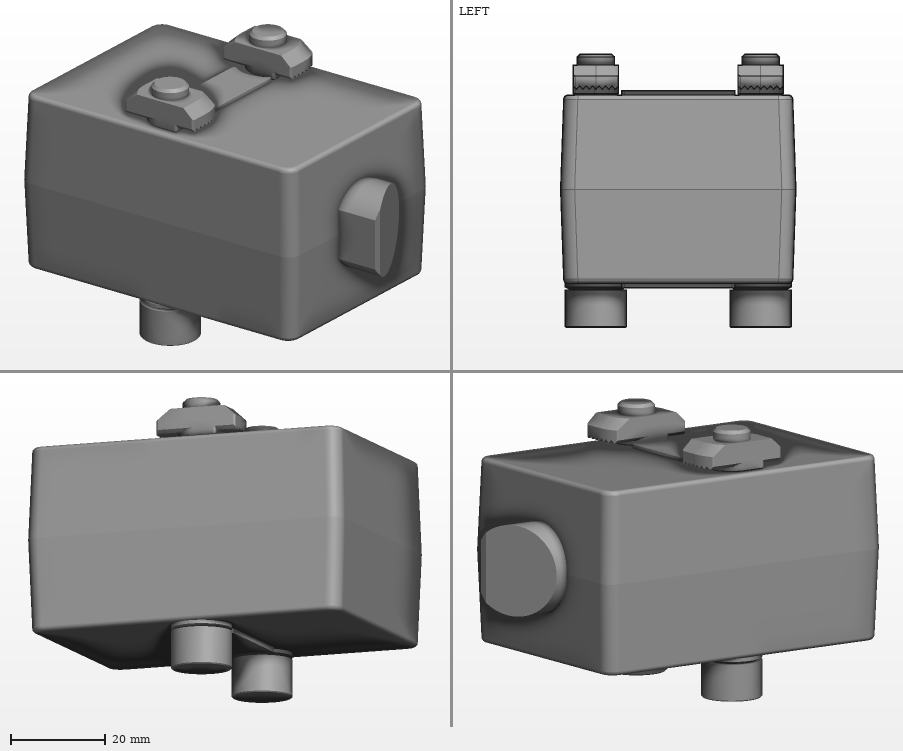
import cadquery as cq
import math

TOTAL_LENGTH = 81.5
HOUSING_LENGTH = 72.0
HOUSING_WIDTH = 50.0
HALF_HEIGHT = 20.0
DRAFT_ANGLE = 2.0
CORNER_RADIUS = 3.0
RIM_RADIUS = 1.0

BOLT_X = -1.55
BOLT_SPACING = 35.0
BOLT_Y = BOLT_SPACING / 2
BOLT_POSITIONS = [(BOLT_X, -BOLT_Y), (BOLT_X, BOLT_Y)]

SHANK_RADIUS = 4.0
SHANK_TOP = 28.7
SHANK_CHAMFER = 0.65
HEAD_RADIUS = 6.5
HEAD_HEIGHT = 8.0
HEAD_CHAMFER = 0.25

WASHER_HEIGHT = 1.4
WASHER_RIM_HEIGHT = 0.7
WASHER_FOOT_RADIUS = 5.3

NUT_WIDTH = 9.6
NUT_HALF_LENGTH = 9.5
NUT_TOP = 26.3
NUT_CHAMFER_RUN = 2.5
NUT_CHAMFER_RISE = 2.3
NUT_EDGE_RADIUS = 0.5
NECK_HALF_LENGTH = 5.05
NECK_CHAMFER = 0.3
TOOTH_COUNT = 7
TOOTH_HEIGHT = 0.7
TOOTH_TIP_Z = 21.2
TOOTH_ROOT_Z = TOOTH_TIP_Z + TOOTH_HEIGHT

KEY_WIDTH = 10.1
KEY_LENGTH = 24.05
KEY_HEIGHT = 1.0
KEY_END_RADIUS = 7.0
KEY_EDGE_RADIUS = 0.6

SPOUT_RADIUS = 9.9
SPOUT_FLAT_Y = -8.1
SPOUT_TIP_X = TOTAL_LENGTH - HOUSING_LENGTH / 2
SPOUT_TIP_EDGE_Y = -6.3
SPOUT_SLANT_ANGLE = 23.2
SPOUT_ROOT_X = HOUSING_LENGTH / 2 - 2 * HALF_HEIGHT * math.tan(math.radians(DRAFT_ANGLE))


def make_housing_blank():
    """Outer shape of the housing, without the bolt holes."""
    upper = (
        cq.Workplane("XY")
        .rect(HOUSING_LENGTH, HOUSING_WIDTH)
        .extrude(HALF_HEIGHT, taper=DRAFT_ANGLE)
        .edges("not(#Z)")
        .fillet(CORNER_RADIUS)
        .faces(">Z")
        .edges()
        .fillet(RIM_RADIUS)
    )
    return upper.union(upper.mirror("XY"))


def make_housing():
    """Housing with a through hole for each bolt."""
    holes = (
        cq.Workplane("XY", origin=(0, 0, -HALF_HEIGHT))
        .pushPoints(BOLT_POSITIONS)
        .circle(SHANK_RADIUS)
        .extrude(2 * HALF_HEIGHT)
    )
    return make_housing_blank().cut(holes)


def make_spout():
    """Round spout with a flat front, a slanted end and a root that follows the drafted housing wall."""
    top_x = SPOUT_TIP_X - (SPOUT_RADIUS - SPOUT_TIP_EDGE_Y) * math.tan(math.radians(SPOUT_SLANT_ANGLE))
    side_outline = (
        cq.Workplane("XY")
        .moveTo(SPOUT_ROOT_X, SPOUT_FLAT_Y)
        .lineTo(SPOUT_TIP_X, SPOUT_FLAT_Y)
        .lineTo(SPOUT_TIP_X, SPOUT_TIP_EDGE_Y)
        .lineTo(top_x, SPOUT_RADIUS)
        .lineTo(SPOUT_ROOT_X, SPOUT_RADIUS)
        .close()
        .extrude(SPOUT_RADIUS, both=True)
    )
    cylinder = (
        cq.Workplane("YZ", origin=(SPOUT_ROOT_X, 0, 0))
        .circle(SPOUT_RADIUS)
        .extrude(SPOUT_TIP_X - SPOUT_ROOT_X)
    )
    return cylinder.intersect(side_outline).cut(make_housing_blank())


def make_bolt(x, y):
    """Cylinder-head bolt, standing head down."""
    head_top = -HALF_HEIGHT - WASHER_HEIGHT
    head = (
        cq.Workplane("XY", origin=(x, y, head_top))
        .circle(HEAD_RADIUS)
        .extrude(-HEAD_HEIGHT)
        .faces("<Z")
        .chamfer(HEAD_CHAMFER)
    )
    shank = (
        cq.Workplane("XY", origin=(x, y, head_top))
        .circle(SHANK_RADIUS)
        .extrude(SHANK_TOP - head_top)
        .faces(">Z")
        .chamfer(SHANK_CHAMFER)
    )
    return head.union(shank)


def make_washer(x, y):
    """Washer with a straight rim against the housing and a conical foot on the bolt head."""
    profile = [
        (SHANK_RADIUS, 0),
        (HEAD_RADIUS, 0),
        (HEAD_RADIUS, -WASHER_RIM_HEIGHT),
        (WASHER_FOOT_RADIUS, -WASHER_HEIGHT),
        (SHANK_RADIUS, -WASHER_HEIGHT),
    ]
    washer = cq.Workplane("XZ").polyline(profile).close().revolve(360, (0, 0, 0), (0, 1, 0))
    return washer.translate((x, y, -HALF_HEIGHT))


def turning_outline(z, half_length, half_width):
    """Rectangle whose -X-Y and +X+Y corners are rounded so that the nut can turn in its slot."""
    radius = half_length
    reach = half_width - radius
    bulge = radius * math.sqrt(0.5)
    return (
        cq.Workplane("XY", origin=(0, 0, z))
        .moveTo(-half_length, half_width)
        .lineTo(-half_length, -reach)
        .threePointArc((-bulge, -reach - bulge), (0, -half_width))
        .lineTo(half_length, -half_width)
        .lineTo(half_length, reach)
        .threePointArc((bulge, reach + bulge), (0, half_width))
        .close()
    )


def make_nut_wings():
    """Upper part of the nut: chamfered ends, with teeth along X on the underside."""
    chamfer_base = NUT_TOP - NUT_CHAMFER_RISE
    taper = math.degrees(math.atan2(NUT_CHAMFER_RUN, NUT_CHAMFER_RISE))
    straight = turning_outline(TOOTH_TIP_Z, NUT_HALF_LENGTH, NUT_HALF_LENGTH).extrude(chamfer_base - TOOTH_TIP_Z)
    tapered = turning_outline(chamfer_base, NUT_HALF_LENGTH, NUT_HALF_LENGTH).extrude(NUT_CHAMFER_RISE, taper=taper)
    bar = (
        cq.Workplane("XY", origin=(0, 0, TOOTH_TIP_Z))
        .rect(2 * NUT_HALF_LENGTH, NUT_WIDTH)
        .extrude(NUT_TOP - TOOTH_TIP_Z)
    )
    prism = turning_outline(TOOTH_TIP_Z, NUT_HALF_LENGTH, NUT_HALF_LENGTH).extrude(NUT_TOP - TOOTH_TIP_Z)
    rounded_bar = bar.intersect(prism).edges("|Z and (<Y or >Y)").fillet(NUT_EDGE_RADIUS)
    return rounded_bar.intersect(straight.union(tapered)).cut(make_tooth_gaps())


def make_tooth_gaps():
    """V grooves between the teeth; the outermost ones leave the side faces at root height."""
    pitch = NUT_WIDTH / TOOTH_COUNT
    gaps = cq.Workplane("YZ", origin=(-NUT_HALF_LENGTH, 0, 0))
    for i in range(TOOTH_COUNT + 1):
        root_y = -NUT_WIDTH / 2 + i * pitch
        gaps = gaps.polyline(
            [
                (root_y - pitch / 2, TOOTH_TIP_Z),
                (root_y, TOOTH_ROOT_Z),
                (root_y + pitch / 2, TOOTH_TIP_Z),
            ]
        ).close()
    return gaps.extrude(2 * NUT_HALF_LENGTH)


def make_nut(x, y):
    """T-nut: wings on a narrow neck that stands on the housing, bored for the bolt shank."""
    neck = (
        turning_outline(HALF_HEIGHT, NECK_HALF_LENGTH, NUT_WIDTH / 2)
        .extrude(NUT_TOP - NUT_CHAMFER_RISE - HALF_HEIGHT)
    )
    neck = neck.edges("|Z and (>(1, -1, 0) or <(1, -1, 0))").fillet(NUT_EDGE_RADIUS)
    neck = neck.faces("<Z").chamfer(NECK_CHAMFER)
    bore = (
        cq.Workplane("XY", origin=(0, 0, HALF_HEIGHT))
        .circle(SHANK_RADIUS)
        .extrude(NUT_TOP - HALF_HEIGHT)
    )
    return make_nut_wings().union(neck).cut(bore).translate((x, y, 0))


def make_key(base_z):
    """Flat key whose concave ends run round the two bolts."""
    key = (
        cq.Workplane("XY", origin=(BOLT_X, 0, base_z))
        .rect(KEY_WIDTH, KEY_LENGTH)
        .extrude(KEY_HEIGHT)
    )
    ends = (
        cq.Workplane("XY", origin=(0, 0, base_z))
        .pushPoints(BOLT_POSITIONS)
        .circle(KEY_END_RADIUS)
        .extrude(KEY_HEIGHT)
    )
    return key.cut(ends).edges("|Z and (<X or >X)").fillet(KEY_EDGE_RADIUS)


housing = make_housing()
spout = make_spout()
bolts = [make_bolt(x, y) for x, y in BOLT_POSITIONS]
washers = [make_washer(x, y) for x, y in BOLT_POSITIONS]
nuts = [make_nut(x, y) for x, y in BOLT_POSITIONS]
keys = [make_key(base_z) for base_z in (HALF_HEIGHT, -HALF_HEIGHT - KEY_HEIGHT)]

bodies = [housing, spout, *bolts, *washers, *nuts, *keys]
result = cq.Compound.makeCompound([body.val() for body in bodies])